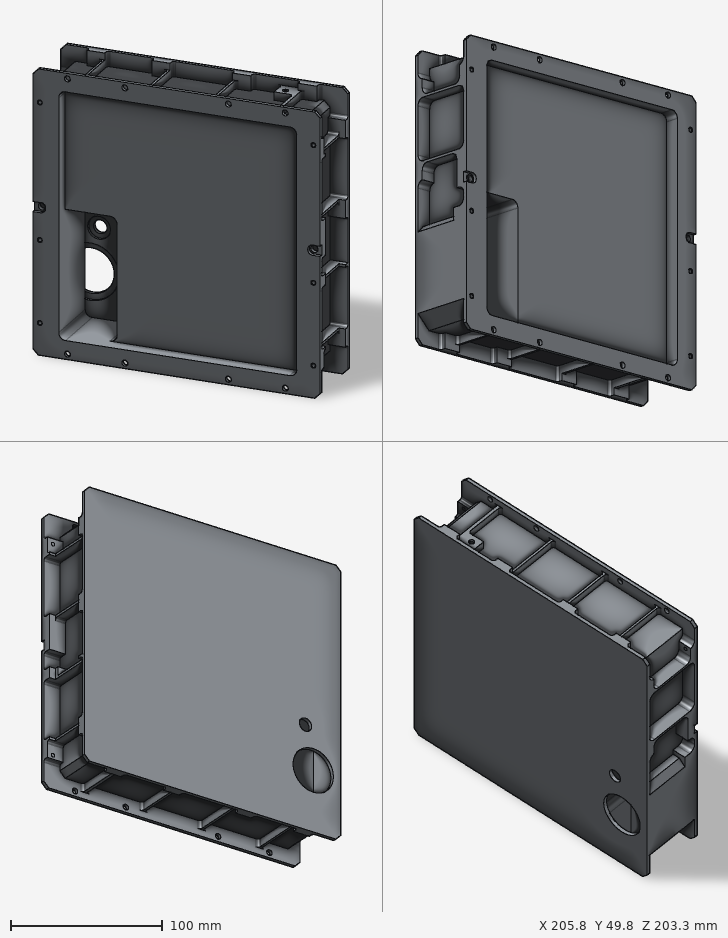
import cadquery as cq

WIDTH = 205.8
DEPTH = 49.8
HEIGHT = 203.3
CORNER_CHAMFER = 4.0
HALF_W = WIDTH / 2
HALF_D = DEPTH / 2
HALF_H = HEIGHT / 2

FLANGE = 2.7
INNER_Y = HALF_D - FLANGE
BEYOND = 20.5

FLOOR_Z = 90.7
LEFT_FLOOR_X = -92.4
RIGHT_FLOOR_X = 90.1

RIB = 1.9
TOP_POCKET_PITCH = 46.7
TOP_POCKET_WIDTH = TOP_POCKET_PITCH - RIB
TOP_POCKETS_CENTRE = -0.5
END_POCKET_X = 71.2
RIB_PITCH_Z = 45.7
RIB_Z_LOW = RIB_PITCH_Z / 2
RIB_Z_HIGH = RIB_PITCH_Z * 1.5
RIB_TOP_Z = 96.7
RIB_RIGHT_X = 98.2
BOSS = 11.1
FRONT_BOSS = 12.3
BACK_BOSS_Y = 18.1
FRONT_BOSS_Y = -18.3
SLOT_BOSS_Y = -15.6
MID_BOSS_Y = -12.5
TOP_CORNER_R = 2.0
LEFT_CORNER_R = 5.0
RIGHT_CORNER_R = 2.0

SLOT_BOSS_BOTTOM = -2.7
NOTCH_BOTTOM = -15.6
LEDGE_Z = -19.5
RAMP = 5.0
BOTTOM_LEFT_CHAMFER = 9.9
RIGHT_CHAMFER = 4.3

RECESS_LEFT = -84.4
RECESS_RIGHT = 86.0
RECESS_HALF_H = 88.3
RECESS_DEPTH = 10.5
RECESS_R = 5.0
DEEP_RIGHT = -47.1
DEEP_TOP = 0.5
BACK_WALL = 5.0

OPENINGS = [(-74.5, -23.9, 9.7, 16.3), (-80.7, -56.0, 32.3, 40.7)]
COUNTERBORE_DEPTH = 2.0

EDGE_HOLE = 4.1
EDGE_HOLE_Z = 97.7
EDGE_HOLE_X = [-78.2, -37.0, 37.0, 77.8]
SIDE_HOLE = 2.7
SIDE_HOLE_MOUTH = 3.5
SIDE_HOLE_X = 98.0
SIDE_HOLE_Z = [78.0, -19.8, -78.6]
SIDE_HOLE_DEPTH = 6.2
SLOT_Z = 3.3
SLOT_X = 97.5
SLOT_WIDTH = 7.2
SLOT_HOLE = 5.1
SLOT_HOLE_DEPTH = 6.2

BLOCK_LEFT = 55.4
BLOCK_FRONT = 9.3
BLOCK_HOLE = 2.7
BLOCK_HOLE_MOUTH = 4.1
BLOCK_HOLE_X = 61.3
BLOCK_HOLE_Y = 14.6
BLOCK_HOLE_DEPTH = 6.2


def block(x0, x1, y0, y1, z0, z1):
    """Box between two corners."""
    return cq.Workplane("XY").box(x1 - x0, y1 - y0, z1 - z0, centered=False).translate((x0, y0, z0))


def pocket(x0, x1, y0, y1, z0, z1, axis, radius):
    """Box with the edges along one axis rounded."""
    return block(x0, x1, y0, y1, z0, z1).edges("|" + axis).fillet(radius)


def hole(x, z, diameter, y0, depth):
    """Cylinder along +Y starting at y0."""
    return cq.Workplane("XZ", origin=(x, y0, z)).circle(diameter / 2).extrude(-depth)


def tapped_hole(plane, origin, diameter, mouth, depth):
    """Blind hole along the inward normal, with a 45 degree countersink at its mouth."""
    sink = (mouth - diameter) / 2
    cone = cq.Workplane(plane, origin=origin).circle(mouth / 2).extrude(-sink, taper=45)
    drill = cq.Workplane(plane, origin=origin).circle(diameter / 2).extrude(-depth)
    return drill.union(cone)


def prism(points, y0, y1):
    """X-Z outline extruded from y0 to y1."""
    return cq.Workplane("XZ", origin=(0, y0, 0)).polyline(points).close().extrude(y0 - y1)


def mirrored_z(shape):
    """Copy of a shape reflected from top to bottom."""
    return shape.mirror("XY")


def top_pocket(x0, x1, wide_x0, wide_x1):
    """Pocket that reaches the back flange only from wide_x0 to wide_x1; a boss fills the rest."""
    top = HALF_H + BEYOND
    narrow = pocket(x0, x1, -INNER_Y, BACK_BOSS_Y, FLOOR_Z, top, "Z", TOP_CORNER_R)
    wide = pocket(wide_x0, wide_x1, -INNER_Y, INNER_Y, FLOOR_Z, top, "Z", TOP_CORNER_R)
    return narrow.union(wide)


def top_cutter():
    """All pockets of the top side and the strip above the ribs."""
    end = HALF_W + BEYOND
    cutter = block(-end, end, -INNER_Y, BACK_BOSS_Y, RIB_TOP_Z, HALF_H + BEYOND)
    cutter = cutter.union(top_pocket(-end, -END_POCKET_X, -end, -END_POCKET_X - BOSS))
    cutter = cutter.union(top_pocket(END_POCKET_X, end, END_POCKET_X + BOSS, end))
    for i in (-1, 0, 1):
        centre = TOP_POCKETS_CENTRE + TOP_POCKET_PITCH * i
        x0 = centre - TOP_POCKET_WIDTH / 2
        x1 = centre + TOP_POCKET_WIDTH / 2
        wide_x0 = x0 + BOSS if i == 1 else x0
        wide_x1 = x1 - BOSS if i == -1 else x1
        cutter = cutter.union(top_pocket(x0, x1, wide_x0, wide_x1))
    return cutter


def corner_side_pocket(x0, x1, radius):
    """Upper pocket, open at the top, with a boss on each flange."""
    z0 = RIB_Z_HIGH + RIB / 2
    z1 = HALF_H + BEYOND
    narrow = pocket(x0, x1, FRONT_BOSS_Y, BACK_BOSS_Y, z0, z1, "X", radius)
    back = pocket(x0, x1, 0, INNER_Y, z0 + BOSS, z1, "X", radius)
    front = pocket(x0, x1, -INNER_Y, 0, z0 + FRONT_BOSS, z1, "X", radius)
    return narrow.union(back).union(front)


def plain_side_pocket(x0, x1, radius):
    return pocket(x0, x1, -INNER_Y, INNER_Y, RIB_Z_LOW + RIB / 2, RIB_Z_HIGH - RIB / 2, "X", radius)


def middle_side_pocket(x0, x1, bottom, radius):
    """Pocket below the middle rib, stepped around the slot boss and the screw boss."""
    top = RIB_Z_LOW - RIB / 2
    upper = pocket(x0, x1, SLOT_BOSS_Y, BACK_BOSS_Y, NOTCH_BOTTOM, top, "X", radius)
    lower = block(x0, x1, MID_BOSS_Y, INNER_Y, bottom, top - BOSS)
    lower = lower.edges("|X and >Y and >Z").fillet(radius)
    notch = pocket(x0, x1, -INNER_Y, 0, NOTCH_BOTTOM, SLOT_BOSS_BOTTOM, "X", radius)
    return upper.union(lower).union(notch)


def left_cutter():
    """Pockets of the left side, the ramp below them and the large chamfer at the bottom corner."""
    x0 = -HALF_W - BEYOND
    x1 = LEFT_FLOOR_X
    ramp = prism(
        [(-HALF_W, LEDGE_Z - RAMP), (-HALF_W + RAMP, LEDGE_Z), (-HALF_W, LEDGE_Z)],
        MID_BOSS_Y,
        INNER_Y,
    )
    chamfer_z = BOTTOM_LEFT_CHAMFER - FLOOR_Z
    chamfer = prism(
        [(-HALF_W, chamfer_z), (-HALF_W, -FLOOR_Z), (-HALF_W + BOTTOM_LEFT_CHAMFER, -FLOOR_Z)],
        -INNER_Y,
        INNER_Y,
    )
    corner = corner_side_pocket(x0, x1, LEFT_CORNER_R)
    plain = plain_side_pocket(x0, x1, LEFT_CORNER_R)
    middle = middle_side_pocket(x0, x1, LEDGE_Z, LEFT_CORNER_R)
    return corner.union(plain).union(middle).union(ramp).union(chamfer)


def right_cutter():
    """Pockets of the right side: upper and plain ones repeat below the middle one."""
    x0 = RIGHT_FLOOR_X
    x1 = HALF_W + BEYOND
    chamfer_x = RIGHT_FLOOR_X - RIGHT_CHAMFER
    chamfer = prism(
        [(chamfer_x, FLOOR_Z), (RIGHT_FLOOR_X, FLOOR_Z), (RIGHT_FLOOR_X, FLOOR_Z - RIGHT_CHAMFER)],
        -INNER_Y,
        INNER_Y,
    )
    corner = corner_side_pocket(x0, x1, RIGHT_CORNER_R)
    plain = plain_side_pocket(x0, x1, RIGHT_CORNER_R)
    paired = corner.union(plain).union(chamfer)
    rib_trim = block(RIB_RIGHT_X, x1, SLOT_BOSS_Y, BACK_BOSS_Y, -HALF_H, HALF_H)
    middle = middle_side_pocket(x0, x1, RIB / 2 - RIB_Z_LOW, RIGHT_CORNER_R)
    return paired.union(mirrored_z(paired)).union(middle).union(rib_trim)


def front_recesses():
    """Shallow recess, deep recess in its lower left corner and the openings in the back wall."""
    floor_y = RECESS_DEPTH - HALF_D
    deep_y = HALF_D - BACK_WALL
    front = -HALF_D - BEYOND
    z0 = -RECESS_HALF_H
    main = pocket(RECESS_LEFT, RECESS_RIGHT, front, floor_y, z0, RECESS_HALF_H, "Y", RECESS_R)
    deep = block(RECESS_LEFT, DEEP_RIGHT, front, deep_y, z0, DEEP_TOP)
    deep = deep.edges("|Y and (>X or <Z)").fillet(RECESS_R)
    cutter = main.union(deep)
    for x, z, bore, counterbore in OPENINGS:
        cutter = cutter.union(hole(x, z, bore, deep_y, BACK_WALL))
        cutter = cutter.union(hole(x, z, counterbore, deep_y, COUNTERBORE_DEPTH))
    return cutter


def flange_holes():
    """Screw holes of the front flange and the open slots at its left and right edges."""
    cutter = cq.Workplane("XY")
    for side in (-1, 1):
        for x in EDGE_HOLE_X:
            cutter = cutter.union(hole(x, side * EDGE_HOLE_Z, EDGE_HOLE, -HALF_D, FLANGE))
        for z in SIDE_HOLE_Z:
            origin = (side * SIDE_HOLE_X, -HALF_D, z)
            screw = tapped_hole("XZ", origin, SIDE_HOLE, SIDE_HOLE_MOUTH, SIDE_HOLE_DEPTH)
            cutter = cutter.union(screw)
        x = side * SLOT_X
        slot_run = side * (HALF_W + BEYOND)
        slot = block(
            min(x, slot_run), max(x, slot_run), -HALF_D, -INNER_Y,
            SLOT_Z - SLOT_WIDTH / 2, SLOT_Z + SLOT_WIDTH / 2,
        )
        cutter = cutter.union(slot)
        cutter = cutter.union(hole(x, SLOT_Z, SLOT_WIDTH, -HALF_D, FLANGE))
        cutter = cutter.union(hole(x, SLOT_Z, SLOT_HOLE, -HALF_D, SLOT_HOLE_DEPTH))
    return cutter


def screw_block():
    """Block in the corner of the right full pocket, level with the rib tops."""
    right = TOP_POCKETS_CENTRE + TOP_POCKET_PITCH + TOP_POCKET_WIDTH / 2
    body = block(BLOCK_LEFT, right, BLOCK_FRONT, INNER_Y, FLOOR_Z, RIB_TOP_Z)
    fillets = inner_corner(BLOCK_LEFT, INNER_Y).union(inner_corner(right, BLOCK_FRONT))
    return body.union(fillets)


def inner_corner(x, y):
    """Fillet in the concave corner at (x, y), curving towards -X and -Y."""
    r = TOP_CORNER_R
    square = block(x - r, x, y - r, y, FLOOR_Z, RIB_TOP_Z)
    round_cut = cq.Workplane("XY", origin=(x - r, y - r, FLOOR_Z)).circle(r).extrude(RIB_TOP_Z - FLOOR_Z)
    return square.cut(round_cut)


def screw_block_hole():
    origin = (BLOCK_HOLE_X, BLOCK_HOLE_Y, RIB_TOP_Z)
    return tapped_hole("XY", origin, BLOCK_HOLE, BLOCK_HOLE_MOUTH, BLOCK_HOLE_DEPTH)


housing = cq.Workplane("XY").box(WIDTH, DEPTH, HEIGHT).edges("|Y").chamfer(CORNER_CHAMFER)
top = top_cutter()
housing = housing.cut(top).cut(mirrored_z(top))
housing = housing.cut(left_cutter()).cut(right_cutter())
housing = housing.cut(front_recesses()).cut(flange_holes())
result = housing.union(screw_block()).cut(screw_block_hole())